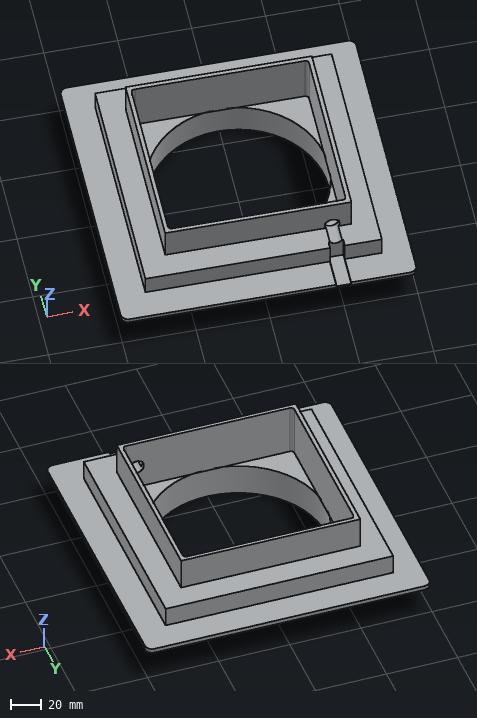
import cadquery as cq

plate_side = 200
plate_thickness = 3.5
plate_corner_radius = 5.0

spigot_diameter = 125.0
spigot_height = 20
bore_diameter = 122

platform_side = 160
platform_height = 14.5
collar_wall = 3.0
pocket_side = 120
pocket_corner_radius = 2.5
collar_side = pocket_side + 2 * collar_wall
total_height = 61.0

passage_x = 50
passage_diameter = 10
passage_axis_above_platform = 2.8
channel_length = 25.0
channel_depth_in_plate = 1.5

plate_top = spigot_height + plate_thickness
platform_top = plate_top + platform_height
channel_floor = plate_top - channel_depth_in_plate


def square_block(side, bottom, top):
    """Square block centred on the Z axis between two levels."""
    block = cq.Workplane("XY").workplane(offset=bottom)
    return block.rect(side, side).extrude(top - bottom)


def make_body():
    """Spigot, flange plate, platform and collar stacked on one axis."""
    spigot = cq.Workplane("XY").circle(spigot_diameter / 2).extrude(spigot_height)
    plate = square_block(plate_side, spigot_height, plate_top)
    plate = plate.edges("|Z").fillet(plate_corner_radius)
    platform = square_block(platform_side, plate_top, platform_top)
    collar = square_block(collar_side, platform_top, total_height)
    return spigot.union(plate).union(platform).union(collar)


def make_opening():
    """Square pocket down to the plate top, continuing as a round bore to the bottom."""
    pocket = square_block(pocket_side, plate_top, total_height)
    pocket = pocket.edges("|Z").fillet(pocket_corner_radius)
    bore = cq.Workplane("XY").circle(bore_diameter / 2).extrude(plate_top)
    return pocket.union(bore)


def make_cable_passage():
    """Rectangular channel from the front edge, then a round passage through the collar wall."""
    front = -plate_side / 2
    passage_end = -pocket_side / 2
    passage_z = platform_top + passage_axis_above_platform
    channel = cq.Workplane("XY").box(
        passage_diameter, channel_length, platform_top - channel_floor, centered=(True, False, False)
    ).translate((passage_x, front, channel_floor))
    passage = (
        cq.Workplane("XZ", origin=(passage_x, front, passage_z))
        .circle(passage_diameter / 2)
        .extrude(-(passage_end - front))
    )
    return channel.union(passage)


result = make_body().cut(make_opening()).cut(make_cable_passage())